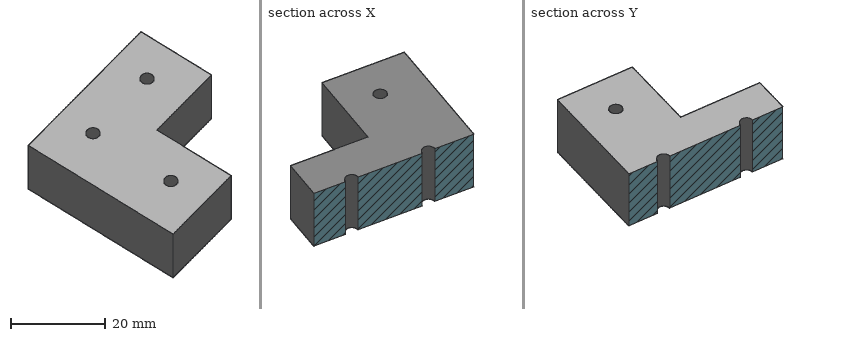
import cadquery as cq

length_x = 39.0
length_y = 38.95
height = 15.0

y_arm_width = 19.0
x_arm_width = 20.1

hole_diameter = 3.0
corner_hole_x = 8.8
corner_hole_y = 11.05
x_arm_hole_x = 29.8
y_arm_hole_y = 29.7

hole_centers = [
    (corner_hole_x, corner_hole_y),
    (x_arm_hole_x, corner_hole_y),
    (corner_hole_x, y_arm_hole_y),
]

x_arm = cq.Workplane("XY").box(length_x, x_arm_width, height, centered=False)
y_arm = cq.Workplane("XY").box(y_arm_width, length_y, height, centered=False)
block = x_arm.union(y_arm).clean()

holes = cq.Workplane("XY").pushPoints(hole_centers).circle(hole_diameter / 2).extrude(height)
result = block.cut(holes)